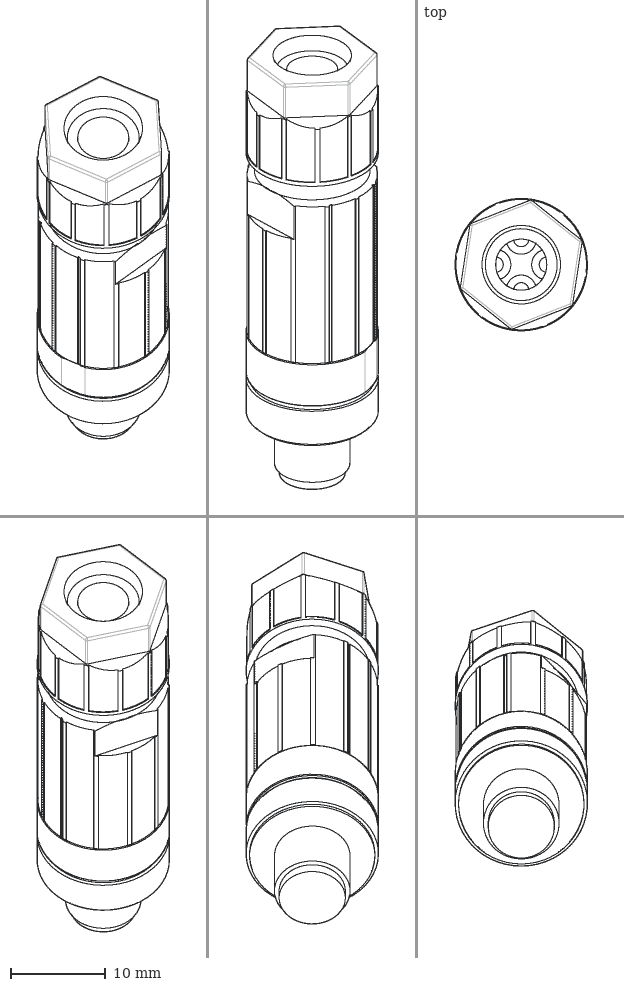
import cadquery as cq
import math

total_length = 51.24
outer_radius = 7.0

cut_reach = outer_radius + 1

tip_radius = 3.5
tip_top = 1.17
stem_radius = 4.0
stem_top = 7.24
relief_radius = 6.63
ring_bottom = 7.6
ring_top = 11.66
band_bottom = 12.24
band_top = 17.46
band_chamfer = 0.1

shoulder_bottom = 36.64
neck_bottom = 37.1
neck_radius = 6.13
neck_top = 39.27
rib_count = 12
rib_width = 0.5
panel_radius = 6.9

wrench_flat_distance = 6.0
wrench_flat_bottom = 32.6
step_flat_distance = 6.1
step_flat_inner = 2.96
step_flat_outer = 3.29
label_flat_start = -80.5
label_flat_end = -57.3

nut_bottom = neck_top
nut_collar_height = 0.47
nut_panel_bottom = nut_bottom + nut_collar_height
hex_height = 4.0
hex_bottom = total_length - hex_height
hex_apothem = 6.0
hex_sides = 6
hex_corner_angle = 81.4
facet_angle = 45
hex_edge_radius = 0.25

entry_top_radius = 4.15
entry_floor_radius = 3.8
entry_depth = 1.7
bore_radius = 2.7
bore_floor = neck_bottom
pocket_count = 4
pocket_top_radius = 1.6
pocket_floor_radius = 0.8
pocket_depth = 1.5


def cylinder(radius, bottom, top):
    return cq.Workplane("XY").workplane(offset=bottom).circle(radius).extrude(top - bottom)


def block(x_min, x_max, y_min, y_max, bottom, top):
    """Box given by its limits along each axis."""
    size = (x_max - x_min, y_max - y_min, top - bottom)
    return cq.Workplane("XY").box(*size, centered=False).translate((x_min, y_min, bottom))


def cone(bottom_radius, top_radius, bottom, top):
    height = top - bottom
    solid = cq.Solid.makeCone(bottom_radius, top_radius, height, cq.Vector(0, 0, bottom))
    return cq.Workplane(obj=solid)


def spin(shape, angle):
    return shape.rotate((0, 0, 0), (0, 0, 1), angle)


def cut_panels(shape, first_rib_angle, bottom, top):
    """Recess the surface between evenly spaced ribs that run along Z."""
    half_width = rib_width / 2
    recess = cylinder(cut_reach, bottom, top).cut(cylinder(panel_radius, bottom, top))
    rib = block(0, cut_reach, -half_width, half_width, bottom, top)
    for index in range(rib_count):
        recess = recess.cut(spin(rib, first_rib_angle + index * 360 / rib_count))
    return shape.cut(recess)


def make_turned_body():
    """Revolve the plug end, coupling ring, sleeve and neck."""
    profile = [
        (0, 0),
        (tip_radius, 0),
        (tip_radius, tip_top),
        (stem_radius, tip_top),
        (stem_radius, stem_top),
        (relief_radius, stem_top),
        (relief_radius, ring_bottom),
        (outer_radius, ring_bottom),
        (outer_radius, ring_top),
        (relief_radius, ring_top),
        (relief_radius, band_bottom),
        (outer_radius - band_chamfer, band_bottom),
        (outer_radius, band_bottom + band_chamfer),
        (outer_radius, band_top - band_chamfer),
        (outer_radius - band_chamfer, band_top),
        (outer_radius, band_top),
        (outer_radius, shoulder_bottom),
        (neck_radius, neck_bottom),
        (neck_radius, neck_top),
        (0, neck_top),
    ]
    return cq.Workplane("XZ").polyline(profile).close().revolve(360, (0, 0), (0, 1))


def cut_sleeve_details(body):
    """Cut the panels, two wrench flats and the narrow flats beside four of the ribs."""
    body = cut_panels(body, 0, band_top, neck_bottom)
    wrench_flat = block(
        wrench_flat_distance, cut_reach, -cut_reach, cut_reach, wrench_flat_bottom, neck_bottom
    )
    step_flat = block(
        step_flat_inner, step_flat_outer, step_flat_distance, cut_reach, band_top, neck_bottom
    )
    for angle in (0, 180):
        body = body.cut(spin(wrench_flat, angle))
        turned_step = spin(step_flat, angle)
        body = body.cut(turned_step).cut(turned_step.mirror("YZ"))
    return body


def cut_label_flat(body):
    """Cut one flat as a chord across the smooth band."""
    half_angle = math.radians((label_flat_end - label_flat_start) / 2)
    label_distance = outer_radius * math.cos(half_angle)
    label_flat = block(label_distance, cut_reach, -cut_reach, cut_reach, band_bottom, band_top)
    return body.cut(spin(label_flat, (label_flat_start + label_flat_end) / 2))


def make_nut():
    """Round nut with a hexagonal head and a sloping facet below each hexagon face."""
    hex_diameter = 2 * hex_apothem / math.cos(math.pi / hex_sides)
    facet_drop = 2 * (outer_radius - hex_apothem)
    sketch = cq.Workplane("XY").workplane(offset=hex_bottom)
    head = spin(sketch.polygon(hex_sides, hex_diameter).extrude(hex_height), hex_corner_angle)
    head = head.edges("|Z").fillet(hex_edge_radius)
    head = head.faces(">Z").edges().fillet(hex_edge_radius)
    facets = sketch.polygon(hex_sides, hex_diameter).extrude(-facet_drop, taper=-facet_angle)
    facets = spin(facets, hex_corner_angle)
    facets = facets.intersect(cylinder(outer_radius, nut_bottom, hex_bottom))
    skirt = cylinder(outer_radius, nut_bottom, hex_bottom - facet_drop)
    nut = skirt.union(facets).union(head)
    return cut_panels(nut, hex_corner_angle, nut_panel_bottom, hex_bottom)


def cut_cable_entry(part):
    """Cut the tapered mouth, the bore and the conical pockets around its floor."""
    entry_floor = total_length - entry_depth
    part = part.cut(cone(entry_floor_radius, entry_top_radius, entry_floor, total_length))
    part = part.cut(cylinder(bore_radius, bore_floor, entry_floor))
    pocket = cone(pocket_floor_radius, pocket_top_radius, bore_floor - pocket_depth, bore_floor)
    pocket = pocket.translate((bore_radius, 0, 0))
    for index in range(pocket_count):
        part = part.cut(spin(pocket, index * 360 / pocket_count))
    return part


body = cut_label_flat(cut_sleeve_details(make_turned_body()))
result = cut_cable_entry(body.union(make_nut()))